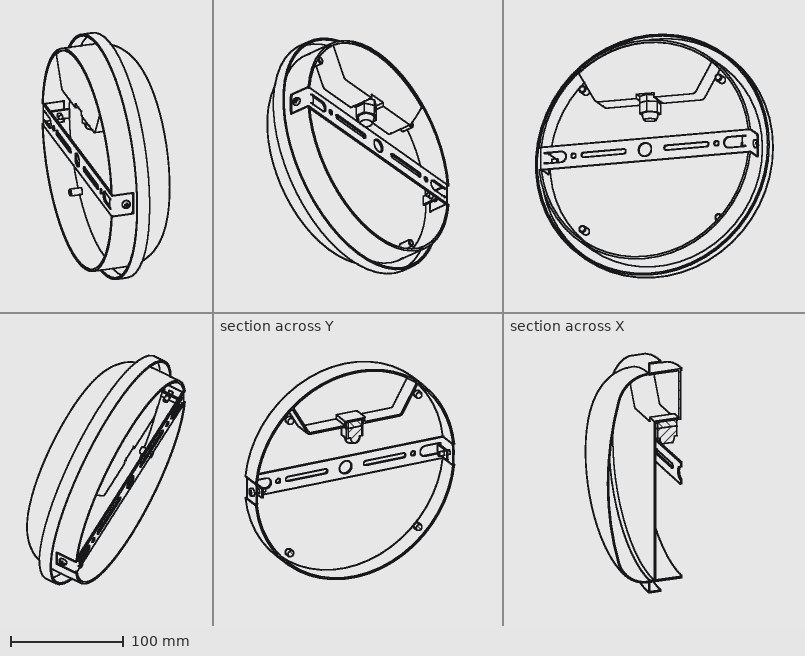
import cadquery as cq
import math


FLANGE_DIA = 220.0
FLANGE_FRONT_Y = 20.2
FLANGE_BACK_Y = 32.1
DIFFUSER_WALL = 1.5
DOME_DIA = 200.0
SHOULDER_RADIUS = 30.0
DOME_TOP_Y = 71.5
FLANGE_SEAT_Y = FLANGE_BACK_Y - DIFFUSER_WALL

PAN_DIA = DOME_DIA
PAN_WALL = 2.0
PAN_RADIUS = PAN_DIA / 2
PAN_INNER_RADIUS = PAN_RADIUS - PAN_WALL
FLOOR_Y = 24.9
FLOOR_BACK_Y = FLOOR_Y + PAN_WALL
PAN_BACK_Y = FLANGE_SEAT_Y
NOTCH_DEPTH = 20.0
PIN_DIA = 6.2
PIN_TIP_CHAMFER = 0.7
PIN_SPACING = 128.0
PIN_FRONT_Y = 14.0

CHAMBER_FRONT_Y = 1.0
CHAMBER_BOTTOM_Z = 47.5
CHAMBER_HALF_WIDTH = 46.6
CHAMBER_SIDE_ANGLE = 60.0
CHAMBER_CORNER_RADIUS = 4.5

STRIP_WIDTH = 20.5
STRIP_THICKNESS = 1.5
EAR_OUTER_X = 98.8
EAR_END_Y = 19.5
EAR_CORNER_RADIUS = 1.5
BEND_RADIUS = 2.2
CENTER_HOLE_DIA = 12.0
SMALL_HOLE_DIA = 4.5
SMALL_HOLE_X = 67.3
SLOT_WIDTH = 4.5
SLOT_LENGTH = 41.8
SLOT_X = 39.0
WINDOW_INNER_X = 74.4
WINDOW_OUTER_X = 94.5
WINDOW_WIDTH = 10.0
TONGUE_WIDTH = 8.5
TONGUE_INNER_X = 91.5
TONGUE_BEND_RADIUS = 1.5
TONGUE_END_Y = 22.9

SCREW_Y = 13.2
SCREW_DIA = 4.0
SCREW_TIP_X = 87.0
HEAD_DIA = 7.0
HEAD_OUTER_X = 101.2
HEAD_EDGE_RADIUS = 1.3
CROSS_LENGTH = 3.5
CROSS_WIDTH = 0.9
CROSS_DEPTH = 1.3

GLAND_Y = 14.0
HEX_FLATS = 16.5
HEX_TOP_Z = 51.5
HEX_SPLIT_Z = 45.5
HEX_BOTTOM_Z = 36.0
CAP_NOSE_DIA = 14.3
CAP_NOSE_BOTTOM_Z = 30.4
CAP_NOSE_TIP_DIA = 10.8


def disc(radius, front_y, back_y):
    """Cylinder along Y, centred on the lamp axis."""
    return cq.Workplane("XZ", origin=(0, front_y, 0)).circle(radius).extrude(front_y - back_y)


def block(x_range, y_range, z_range):
    """Box spanning the given (low, high) ranges."""
    size = [high - low for low, high in (x_range, y_range, z_range)]
    corner = (x_range[0], y_range[0], z_range[0])
    return cq.Workplane("XY").box(*size, centered=False).translate(corner)



def dome(inset):
    """Revolved dome: a shoulder arc that runs tangent into a shallow cap, both offset by inset."""
    shoulder_x = DOME_DIA / 2 - SHOULDER_RADIUS
    shoulder_height = DOME_TOP_Y - FLANGE_BACK_Y
    cap_radius = (shoulder_x**2 + shoulder_height**2 - SHOULDER_RADIUS**2) / (
        2 * (shoulder_height - SHOULDER_RADIUS)
    )
    cap_center_y = DOME_TOP_Y - cap_radius
    join_angle = math.asin(shoulder_x / (cap_radius - SHOULDER_RADIUS))
    middle_angle = (join_angle + math.pi / 2) / 2

    def on_shoulder(angle):
        radius = SHOULDER_RADIUS - inset
        return (shoulder_x + radius * math.sin(angle), FLANGE_BACK_Y + radius * math.cos(angle))

    def on_cap(angle):
        radius = cap_radius - inset
        return (radius * math.sin(angle), cap_center_y + radius * math.cos(angle))

    return (
        cq.Workplane("XY")
        .moveTo(0, FLANGE_SEAT_Y)
        .lineTo(DOME_DIA / 2 - inset, FLANGE_SEAT_Y)
        .lineTo(*on_shoulder(math.pi / 2))
        .threePointArc(on_shoulder(middle_angle), on_shoulder(join_angle))
        .threePointArc(on_cap(join_angle / 2), on_cap(0))
        .close()
        .revolve(360, (0, 0, 0), (0, 1, 0))
    )


def make_diffuser():
    flange_radius = FLANGE_DIA / 2
    flange = disc(flange_radius, FLANGE_FRONT_Y, FLANGE_BACK_Y).faces(">Y").edges().fillet(DIFFUSER_WALL)
    recess = disc(flange_radius - DIFFUSER_WALL, FLANGE_FRONT_Y, FLANGE_SEAT_Y)
    return flange.cut(recess).union(dome(0)).cut(dome(DIFFUSER_WALL))



def chamber_prism(inset, front_y):
    """Trapezoid prism widening upwards past the pan, with its walls moved in by inset."""
    angle = math.radians(CHAMBER_SIDE_ANGLE)
    bottom_z = CHAMBER_BOTTOM_Z + inset
    top_z = PAN_RADIUS
    bottom_x = CHAMBER_HALF_WIDTH - inset * math.tan(angle / 2)
    top_x = bottom_x + (top_z - bottom_z) / math.tan(angle)
    return (
        cq.Workplane("XZ", origin=(0, front_y, 0))
        .polyline([(-bottom_x, bottom_z), (bottom_x, bottom_z), (top_x, top_z), (-top_x, top_z)])
        .close()
        .extrude(front_y - FLOOR_BACK_Y)
        .edges("|Y and <Z")
        .fillet(CHAMBER_CORNER_RADIUS - inset)
    )


def gland_seat(wall):
    """Box-shaped recess for the gland base, grown by wall on the sides, on top and at the back."""
    half_width = HEX_FLATS / 2 + wall
    y_range = (CHAMBER_FRONT_Y, FLOOR_Y + wall)
    z_range = (CHAMBER_BOTTOM_Z, HEX_TOP_Z + wall)
    return block((-half_width, half_width), y_range, z_range)


def make_pan():
    pan = disc(PAN_RADIUS, 0, PAN_BACK_Y).cut(disc(PAN_INNER_RADIUS, 0, FLOOR_Y))
    pan = pan.cut(disc(PAN_INNER_RADIUS, FLOOR_BACK_Y, PAN_BACK_Y))

    half_strip = STRIP_WIDTH / 2
    notches = block((-PAN_RADIUS, PAN_RADIUS), (0, NOTCH_DEPTH), (-half_strip, half_strip))
    pan = pan.cut(notches)

    chamber = chamber_prism(0, CHAMBER_FRONT_Y).intersect(disc(PAN_RADIUS, 0, FLOOR_BACK_Y))
    cavity = chamber_prism(PAN_WALL, CHAMBER_FRONT_Y + PAN_WALL).intersect(
        disc(PAN_INNER_RADIUS, 0, FLOOR_BACK_Y)
    )
    cavity = cavity.cut(gland_seat(PAN_WALL))
    pan = pan.union(chamber).cut(cavity).cut(gland_seat(0))

    half_spacing = PIN_SPACING / 2
    pin = disc(PIN_DIA / 2, PIN_FRONT_Y, FLOOR_BACK_Y).faces("<Y").chamfer(PIN_TIP_CHAMFER)
    for x in (-half_spacing, half_spacing):
        for z in (-half_spacing, half_spacing):
            pan = pan.union(pin.translate((x, 0, z)))
    return pan



def strip_hole(sketch):
    """Cutter through the flat of the strip."""
    return sketch.extrude(-STRIP_THICKNESS)


def bent_strip():
    half_width = STRIP_WIDTH / 2
    inner_x = EAR_OUTER_X - STRIP_THICKNESS
    outer = block((-EAR_OUTER_X, EAR_OUTER_X), (0, EAR_END_Y), (-half_width, half_width))
    inner = block((-inner_x, inner_x), (STRIP_THICKNESS, EAR_END_Y), (-half_width, half_width))
    outer = outer.edges("|Z and <Y").fillet(BEND_RADIUS)
    inner = inner.edges("|Z and <Y").fillet(BEND_RADIUS - STRIP_THICKNESS)
    return outer.cut(inner).edges("|X and >Y").fillet(EAR_CORNER_RADIUS)


def window():
    """D-shaped opening on the +X half, from which the tongue is folded out."""
    half_width = WINDOW_WIDTH / 2
    round_x = WINDOW_INNER_X + half_width
    round_end = strip_hole(cq.Workplane("XZ").center(round_x, 0).circle(half_width))
    straight = block((round_x, WINDOW_OUTER_X), (0, STRIP_THICKNESS), (-half_width, half_width))
    return round_end.union(straight)


def tongue():
    """Tab on the +X half that starts at the outer window edge and bends back along Y."""
    half_width = TONGUE_WIDTH / 2
    z_range = (-half_width, half_width)
    root = block((TONGUE_INNER_X, WINDOW_OUTER_X), (0, STRIP_THICKNESS), z_range)
    tab = block((TONGUE_INNER_X, TONGUE_INNER_X + STRIP_THICKNESS), (0, TONGUE_END_Y), z_range)
    return root.union(tab).edges("|Z and <X and <Y").fillet(TONGUE_BEND_RADIUS)


def make_bracket():
    bracket = bent_strip().cut(strip_hole(cq.Workplane("XZ").circle(CENTER_HOLE_DIA / 2)))
    for side in (-1, 1):
        small_hole = cq.Workplane("XZ").center(side * SMALL_HOLE_X, 0).circle(SMALL_HOLE_DIA / 2)
        slot = cq.Workplane("XZ").center(side * SLOT_X, 0).slot2D(SLOT_LENGTH, SLOT_WIDTH)
        bracket = bracket.cut(strip_hole(small_hole)).cut(strip_hole(slot))
    bracket = bracket.cut(window()).cut(window().mirror("YZ"))
    bracket = bracket.union(tongue()).union(tongue().mirror("YZ"))
    return bracket.cut(screw_shaft(-EAR_OUTER_X, EAR_OUTER_X))



def screw_shaft(start_x, end_x, diameter=SCREW_DIA):
    """Cylinder along X on the screw axis."""
    return cq.Workplane("YZ", origin=(start_x, SCREW_Y, 0)).circle(diameter / 2).extrude(end_x - start_x)


def make_screw():
    """Screw on the +X side, its head resting on the ear."""
    head = screw_shaft(EAR_OUTER_X, HEAD_OUTER_X, HEAD_DIA).faces(">X").edges().fillet(HEAD_EDGE_RADIUS)
    for size in ((CROSS_LENGTH, CROSS_WIDTH), (CROSS_WIDTH, CROSS_LENGTH)):
        arm = cq.Workplane("YZ", origin=(HEAD_OUTER_X, SCREW_Y, 0)).rect(*size).extrude(-CROSS_DEPTH)
        head = head.cut(arm)
    return head.union(screw_shaft(SCREW_TIP_X, EAR_OUTER_X))



def hexagon(bottom_z, top_z):
    """Hexagon prism along Z with two flats facing -X and +X."""
    corner_dia = HEX_FLATS / math.cos(math.pi / 6)
    prism = cq.Workplane("XY").polygon(6, corner_dia).extrude(top_z - bottom_z)
    return prism.rotate((0, 0, 0), (0, 0, 1), 30).translate((0, GLAND_Y, bottom_z))


def make_gland_base():
    return hexagon(HEX_SPLIT_Z, HEX_TOP_Z)


def make_gland_cap():
    nose_radius = CAP_NOSE_DIA / 2
    tip_radius = CAP_NOSE_TIP_DIA / 2
    taper = nose_radius - tip_radius
    height = HEX_BOTTOM_Z - CAP_NOSE_BOTTOM_Z
    arc_radius = (taper**2 + height**2) / (2 * taper)
    half_angle = math.asin(height / arc_radius) / 2
    arc_middle = (
        nose_radius - arc_radius * (1 - math.cos(half_angle)),
        HEX_BOTTOM_Z - arc_radius * math.sin(half_angle),
    )
    nose = (
        cq.Workplane("XZ")
        .moveTo(0, HEX_BOTTOM_Z)
        .lineTo(nose_radius, HEX_BOTTOM_Z)
        .threePointArc(arc_middle, (tip_radius, CAP_NOSE_BOTTOM_Z))
        .lineTo(0, CAP_NOSE_BOTTOM_Z)
        .close()
        .revolve(360, (0, 0, 0), (0, 1, 0))
        .translate((0, GLAND_Y, 0))
    )
    return hexagon(HEX_BOTTOM_Z, HEX_SPLIT_Z).union(nose)


diffuser = make_diffuser()
pan = make_pan()
bracket = make_bracket()
screws = [screw.val() for screw in (make_screw(), make_screw().mirror("YZ"))]
gland_base = make_gland_base()
gland_cap = make_gland_cap()

result = cq.Compound.makeCompound(
    [diffuser.val(), pan.val(), bracket.val(), *screws, gland_base.val(), gland_cap.val()]
)